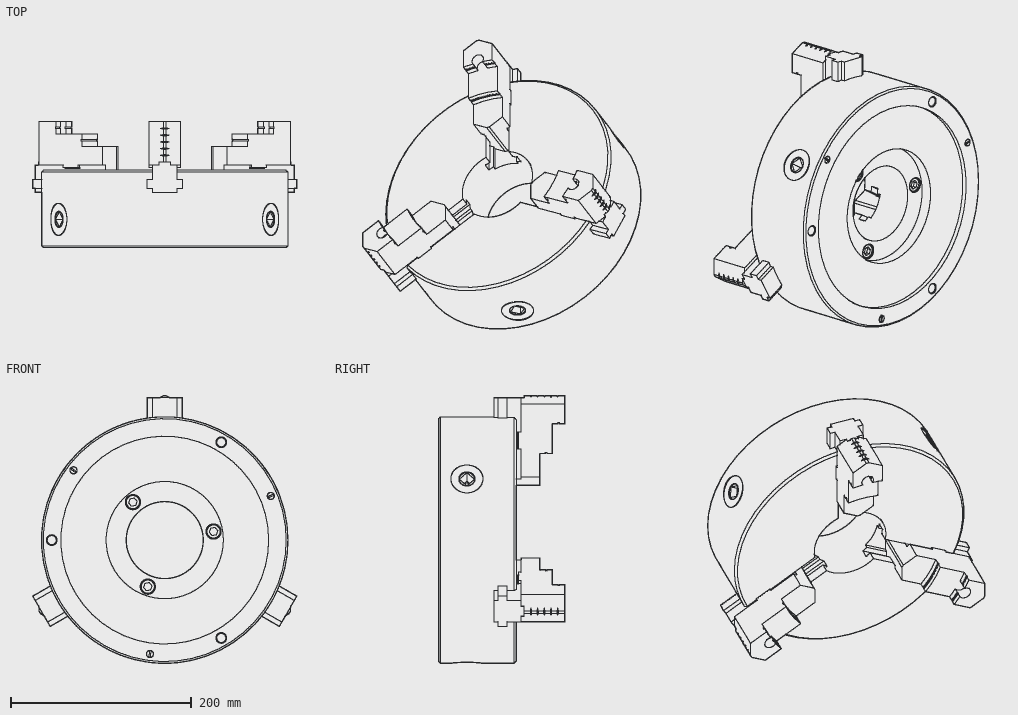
import cadquery as cq
import math


overall_height = 296.5
body_dia = 273.0
body_length = 86.3
mount_chamfer = 2.0
jaw_face_chamfer = 2.7
bore_dia = 85.0
register_dia = 230.0
register_depth = 5.3
cover_recess_dia = 130.0
cover_recess_depth = 13.3
cover_face = register_depth + cover_recess_depth

mount_hole_dia = 10.0
mount_hole_mouth_dia = 12.0
mount_hole_depth = 17.8
mount_hole_point_depth = 2.7
mount_circle_radius = 125.0
mount_angles = (60, 180, 300)
pin_dia = 8.0
pin_gap = 0.3
pin_slot_width = 1.5
pin_slot_depth = 1.8
pin_circle_radius = 127.2
pin_angles = (22.6, 142.6, 262.6)

screw_circle_radius = 55.0
screw_angles = (10, 130, 250)
screw_mouth_dia = 17.0
screw_bore_dia = 16.0
screw_bore_depth = 6.0
screw_head_dia = 15.0
screw_crown_dia = 14.5
screw_sink = 1.5
hex_across_flats = 8.3
hex_depth = 4.5

pinion_angles = (30, 150, 270)
pinion_axis_y = 31.5
pinion_dia = 35.5
pinion_mouth_dia = 18.0
pinion_neck_dia = 17.0
pinion_square = 12.0
pinion_square_depth = 19.5
pinion_point_depth = 3.5

jaw_angles = (90, 210, 330)
base_bottom = 61.5
base_top = 91.3
base_width = 27.5
base_outer = 157.7
guide_width = 38.8
guide_bottom = 65.8
guide_top = 75.5
tongue_width = 12.7
tongue_top = 95.0
cross_key_inner = 100.8
cross_key_outer = 119.8
cross_key_bottom = 88.7
cross_slot_bottom = 87.5
jaw_top = 140.0
step_height = 14.0
jaw_width = 35.0
jaw_tip_width = 3.3
jaw_inner = 60.5
jaw_outer = overall_height - body_dia / 2
taper_angle = 30
corner_step_1 = 128.7
corner_step_2 = 95.8
step_groove_height = 1.8
step_groove_depth = 1.2
relief_dia = 13.5
relief_centre = 133.5
tooth_count = 5
tooth_pitch = 7.5
tooth_first_y = 102.3
tooth_height = 1.5
tooth_depth = 1.63


def cylinder(dia, y_start, y_end, z=0):
    """Cylinder parallel to the chuck axis."""
    return cq.Workplane("XZ", origin=(0, y_start, z)).circle(dia / 2).extrude(y_start - y_end)


def cone(dia_start, dia_end, y_start, y_end, z):
    """Frustum parallel to the chuck axis; an end diameter of 0 gives a point."""
    return cq.Workplane(cq.Solid.makeCone(
        dia_start / 2, dia_end / 2, y_end - y_start, cq.Vector(0, y_start, z), cq.Vector(0, 1, 0)))


def block(width, y_start, y_end, z_start, z_end):
    """Box centred on x = 0."""
    return (cq.Workplane("XY")
            .box(width, y_end - y_start, z_end - z_start, centered=(True, False, False))
            .translate((0, y_start, z_start)))


def turned(shape, angle):
    """Turn a shape from the +Z radius to an angle counted from +X towards +Z."""
    return shape.rotate((0, 0, 0), (0, 1, 0), 90 - angle)


def cut_all(target, shape, angles):
    for angle in angles:
        target = target.cut(turned(shape, angle))
    return target


def join_all(target, shape, angles):
    for angle in angles:
        target = target.union(turned(shape, angle))
    return target


def make_body():
    """Disc with stepped recesses in the mounting face and a through bore."""
    body = cylinder(body_dia, 0, body_length)
    body = body.faces("<Y").chamfer(mount_chamfer)
    body = body.faces(">Y").chamfer(jaw_face_chamfer)
    body = body.cut(cylinder(register_dia, 0, register_depth))
    body = body.cut(cylinder(cover_recess_dia, 0, cover_face))
    return body.cut(cylinder(bore_dia, 0, body_length))


def make_mount_hole():
    """Blind hole with a countersunk mouth and a drill point."""
    mouth_depth = (mount_hole_mouth_dia - mount_hole_dia) / 2
    z = mount_circle_radius
    drill = cylinder(mount_hole_dia, 0, mount_hole_depth, z=z)
    mouth = cone(mount_hole_mouth_dia, mount_hole_dia, 0, mouth_depth, z)
    point = cone(mount_hole_dia, 0, mount_hole_depth, mount_hole_depth + mount_hole_point_depth, z)
    return drill.union(mouth).union(point)


def make_pin_recess():
    """Ring around a pin together with its radial screwdriver slot."""
    z = pin_circle_radius
    ring = cylinder(pin_dia, 0, pin_slot_depth, z=z).cut(
        cylinder(pin_dia - 2 * pin_gap, 0, pin_slot_depth, z=z))
    slot = block(pin_slot_width, 0, pin_slot_depth, z - pin_dia / 2, z + pin_dia / 2)
    return ring.union(slot)


def make_screw_recess():
    """Counterbore with the screw head left standing inside it."""
    z = screw_circle_radius
    floor = cover_face + screw_bore_depth
    head_top = cover_face + screw_sink
    mouth_depth = (screw_mouth_dia - screw_bore_dia) / 2
    crown_depth = (screw_head_dia - screw_crown_dia) / 2
    bore = cylinder(screw_bore_dia, cover_face, floor, z=z).union(
        cone(screw_mouth_dia, screw_bore_dia, cover_face, cover_face + mouth_depth, z))
    head = cylinder(screw_head_dia, head_top + crown_depth, floor, z=z).union(
        cone(screw_crown_dia, screw_head_dia, head_top, head_top + crown_depth, z))
    socket = (cq.Workplane("XZ", origin=(0, head_top, z))
              .polygon(6, hex_across_flats, circumscribed=True).extrude(-hex_depth))
    return bore.cut(head).union(socket)


def make_pinion_recess():
    """Flat round pinion end with a countersunk square socket standing on its corner."""
    flat_z = math.sqrt(body_dia ** 2 - pinion_dia ** 2) / 2
    mouth_depth = (pinion_mouth_dia - pinion_neck_dia) / 2
    inward = cq.Vector(0, 0, -1)
    plane = cq.Workplane("XY", origin=(0, pinion_axis_y, flat_z))
    flat = plane.circle(pinion_dia / 2).extrude(body_dia / 2 - flat_z)
    mouth = cq.Workplane(cq.Solid.makeCone(
        pinion_mouth_dia / 2, pinion_neck_dia / 2, mouth_depth,
        cq.Vector(0, pinion_axis_y, flat_z), inward))
    socket = (plane.transformed(rotate=(0, 0, 45))
              .rect(pinion_square, pinion_square).extrude(-pinion_square_depth))
    point = cq.Workplane(cq.Solid.makeCone(
        pinion_square / 2, 0, pinion_point_depth,
        cq.Vector(0, pinion_axis_y, flat_z - pinion_square_depth), inward))
    return flat.union(mouth).union(socket).union(point)


def make_guide(z_start, z_end, y_top):
    """T-shaped section shared by the jaw slots and the base jaws."""
    web = block(base_width, base_bottom, y_top, z_start, z_end)
    return web.union(block(guide_width, guide_bottom, guide_top, z_start, z_end))


def make_tapered_plan(width, y_start, y_end):
    """Prism tapered in plan to a narrow flat at its inner and outer ends."""
    half_width = width / 2
    half_tip = jaw_tip_width / 2
    taper = (half_width - half_tip) * math.tan(math.radians(taper_angle))
    corners = [
        (half_tip, jaw_inner), (half_width, jaw_inner + taper),
        (half_width, jaw_outer - taper), (half_tip, jaw_outer),
        (-half_tip, jaw_outer), (-half_width, jaw_outer - taper),
        (-half_width, jaw_inner + taper), (-half_tip, jaw_inner),
    ]
    return (cq.Workplane("XZ", origin=(0, y_start, 0))
            .polyline(corners).close().extrude(y_start - y_end))


def make_base_jaw():
    """Guided jaw with a lengthwise tongue, a cross slot and a tapered inner end."""
    middle = (jaw_inner + base_outer) / 2
    jaw = make_guide(jaw_inner, base_outer, base_top)
    jaw = jaw.cut(block(base_width, cross_slot_bottom, base_top, cross_key_inner, cross_key_outer))
    jaw = jaw.union(block(tongue_width, cross_slot_bottom, tongue_top, jaw_inner, base_outer))
    inner_part = jaw.intersect(make_tapered_plan(guide_width, base_bottom, tongue_top))
    outer_part = jaw.intersect(block(guide_width, base_bottom, tongue_top, middle, base_outer))
    return inner_part.union(outer_part)


def make_top_jaw():
    """Stepped jaw keyed across the base jaw and toothed along its outer tip."""
    jaw = make_tapered_plan(jaw_width, base_top, jaw_top)
    jaw = jaw.union(block(jaw_width, cross_key_bottom, base_top, cross_key_inner, cross_key_outer))
    jaw = jaw.cut(block(tongue_width, base_top, tongue_top, base_outer, jaw_outer))

    step_1_y = jaw_top - step_height
    step_2_y = step_1_y - step_height
    for corner, step_y in ((corner_step_1, step_1_y), (corner_step_2, step_2_y)):
        grip_dia = 2 * math.hypot(corner, jaw_width / 2)
        middle = step_y + step_height / 2
        jaw = jaw.cut(cylinder(grip_dia, step_y, jaw_top))
        jaw = jaw.cut(cylinder(grip_dia + 2 * step_groove_depth,
                               middle - step_groove_height / 2, middle + step_groove_height / 2))

    jaw = jaw.cut(cylinder(relief_dia, step_1_y, jaw_top, z=relief_centre))

    for index in range(tooth_count):
        y = tooth_first_y + index * tooth_pitch
        tooth = (cq.Workplane("YZ", origin=(-jaw_width / 2, 0, 0))
                 .polyline([(y - tooth_height / 2, jaw_outer), (y + tooth_height / 2, jaw_outer),
                            (y, jaw_outer - tooth_depth)])
                 .close().extrude(jaw_width))
        jaw = jaw.cut(tooth)
    return jaw


chuck = make_body()
chuck = cut_all(chuck, make_mount_hole(), mount_angles)
chuck = cut_all(chuck, make_pin_recess(), pin_angles)
chuck = cut_all(chuck, make_screw_recess(), screw_angles)
chuck = cut_all(chuck, make_pinion_recess(), pinion_angles)
chuck = cut_all(chuck, make_guide(0, body_dia / 2, body_length), jaw_angles)
result = join_all(chuck, make_base_jaw().union(make_top_jaw()), jaw_angles)